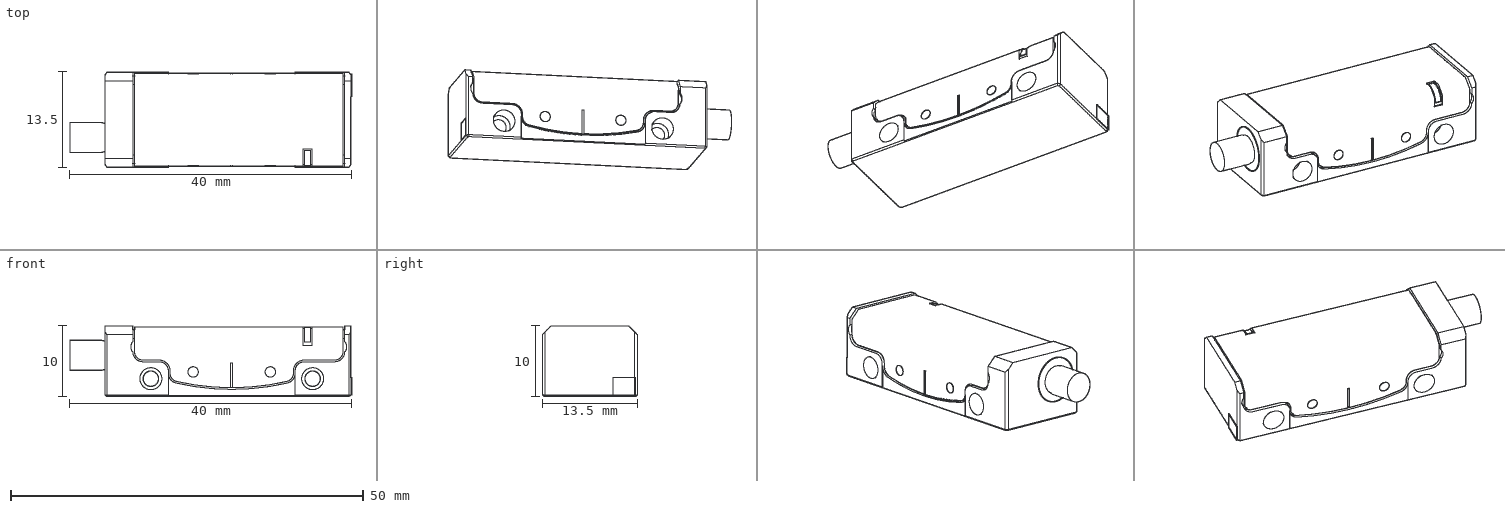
import cadquery as cq
import math

TOTAL_LENGTH = 40.0
WIDTH = 13.5
HEIGHT = 10.0
HALF_WIDTH = WIDTH / 2
CLEARANCE = 4.0

HOUSING_START = 4.95
LABEL_THICKNESS = 0.1
HOUSING_END = TOTAL_LENGTH - LABEL_THICKNESS
TOP_CHAMFER = 1.25
CORNER_CHAMFER_X = 0.3
CORNER_CHAMFER_Y = 0.4
BASE_CHAMFER = 0.25

MIDDLE_X = 22.95
RELIEF_HALF_LENGTH = 9.0
RELIEF_DEPTH = 0.1

COVER_START = 9.15
COVER_END = 38.75
COVER_SIDE_INSET = 0.2
COVER_TOP_INSET = 0.1
COVER_EDGE_RADIUS = 0.2
SHOULDER_Z = 5.15
SHOULDER_RADIUS = 1.2
WAIST_HALF_LENGTH = 8.75
WAIST_RADIUS = 1.5
BELLY_CORNER_Z = 2.35
BELLY_CORNER_RADIUS = 1.2
BELLY_Z = 1.25
SEAM_WIDTH = 0.25
SEAM_DEPTH = 0.5
PRY_NOTCH_Z = 7.05
PRY_NOTCH_HEIGHT = 1.5
PRY_NOTCH_BULGE = 0.3

HOLE_OFFSET = 11.5
HOLE_Z = 2.5
HOLE_DIAMETER = 2.15
COUNTERBORE_DIAMETER = 3.1
COUNTERBORE_DEPTH = 3.4
COUNTERBORE_CONE_ANGLE = 45
DIMPLE_OFFSET = 5.5
DIMPLE_Z = 3.5
DIMPLE_DIAMETER = 1.5
DIMPLE_DEPTH = 0.1
SLIT_WIDTH = 0.3
SLIT_DEPTH = 0.2
SLIT_TOP_Z = 4.7

WINDOW_X = 33.7
WINDOW_WIDTH = 1.3
WINDOW_BOTTOM_Z = 7.2
WINDOW_RADIUS = 2.4
WINDOW_DEPTH = 0.2
LIGHT_GUIDE_WIDTH = 0.9
LIGHT_GUIDE_RADIUS = 2.1
LIGHT_GUIDE_DEPTH = 0.1

CABLE_Y = -2.5
CABLE_Z = 5.85
CABLE_DIAMETER = 4.3
NECK_DIAMETER = 4.05
NECK_START = 4.5
GROMMET_DIAMETER = 6.55
GROMMET_GROOVE_WIDTH = 0.1
GROMMET_GROOVE_DEPTH = 0.1

LABEL_Y_MIN = 3.3
LABEL_Y_MAX = 6.5
LABEL_Z_MIN = 0.2
LABEL_Z_MAX = 2.7


def block(x_min, x_max, y_min, y_max, z_min, z_max):
    size = (x_max - x_min, y_max - y_min, z_max - z_min)
    return cq.Workplane("XY").box(*size, centered=False).translate((x_min, y_min, z_min))


def chamfered_bar(x_min, x_max, side_inset, top_inset):
    """Bar along X with both upper edges chamfered, inset from the outer envelope."""
    half = HALF_WIDTH - side_inset
    bar = block(x_min, x_max, -half, half, 0, HEIGHT - top_inset)
    return bar.faces(">Z").edges("|X").chamfer(TOP_CHAMFER)


def through_width(profile):
    """Extrude a profile in the XZ plane past both sides of the part."""
    return profile.extrude(HALF_WIDTH + CLEARANCE, both=True)


def make_housing():
    """Bar with chamfered upright corners and a small chamfer around the base."""
    x_outer = (HOUSING_END - HOUSING_START) / 2
    x_inner = x_outer - CORNER_CHAMFER_X
    y_inner = HALF_WIDTH - CORNER_CHAMFER_Y
    plan = [
        (x_outer, -y_inner),
        (x_outer, y_inner),
        (x_inner, HALF_WIDTH),
        (-x_inner, HALF_WIDTH),
        (-x_outer, y_inner),
        (-x_outer, -y_inner),
        (-x_inner, -HALF_WIDTH),
        (x_inner, -HALF_WIDTH),
    ]
    middle = (HOUSING_START + HOUSING_END) / 2
    plan_prism = cq.Workplane("XY", origin=(middle, 0, 0)).polyline(plan).close().extrude(HEIGHT)
    housing = chamfered_bar(HOUSING_START, HOUSING_END, 0, 0).intersect(plan_prism)
    return housing.faces("<Z").edges().chamfer(BASE_CHAMFER)


def make_cover_prism():
    """Side silhouette of the cover: shoulders at both ends and a rounded belly between."""
    waist_left = MIDDLE_X - WAIST_HALF_LENGTH
    waist_right = MIDDLE_X + WAIST_HALF_LENGTH
    top = HEIGHT + CLEARANCE
    profile = (
        cq.Workplane("XZ")
        .moveTo(COVER_START, top)
        .lineTo(COVER_START, SHOULDER_Z)
        .lineTo(waist_left, SHOULDER_Z)
        .lineTo(waist_left, BELLY_CORNER_Z)
        .threePointArc((MIDDLE_X, BELLY_Z), (waist_right, BELLY_CORNER_Z))
        .lineTo(waist_right, SHOULDER_Z)
        .lineTo(COVER_END, SHOULDER_Z)
        .lineTo(COVER_END, top)
        .close()
    )
    prism = through_width(profile)
    corners = (
        (((COVER_START, SHOULDER_Z), (COVER_END, SHOULDER_Z)), SHOULDER_RADIUS),
        (((waist_left, SHOULDER_Z), (waist_right, SHOULDER_Z)), WAIST_RADIUS),
        (((waist_left, BELLY_CORNER_Z), (waist_right, BELLY_CORNER_Z)), BELLY_CORNER_RADIUS),
    )
    for places, radius in corners:
        for x, z in places:
            prism = prism.edges(cq.NearestToPointSelector((x, 0, z))).fillet(radius)
    return prism


def make_pry_notches():
    """Lens-shaped widenings of the seam, one at each end of the cover."""
    notches = cq.Workplane("XZ")
    half = PRY_NOTCH_HEIGHT / 2
    for edge_x, outward in ((COVER_START, -1), (COVER_END, 1)):
        seam_x = edge_x + outward * SEAM_WIDTH
        tip_x = seam_x + outward * PRY_NOTCH_BULGE
        lens = (
            cq.Workplane("XZ")
            .moveTo(edge_x, PRY_NOTCH_Z - half)
            .lineTo(seam_x, PRY_NOTCH_Z - half)
            .threePointArc((tip_x, PRY_NOTCH_Z), (seam_x, PRY_NOTCH_Z + half))
            .lineTo(edge_x, PRY_NOTCH_Z + half)
            .close()
        )
        notches = notches.add(through_width(lens))
    return notches.combine()


def make_cover(cover_prism):
    cover = chamfered_bar(HOUSING_START, HOUSING_END, COVER_SIDE_INSET, COVER_TOP_INSET)
    long_edges = cover.faces("#X and (not <Z) and (not <Y) and (not >Y) and (not >Z)").edges("|X")
    return long_edges.fillet(COVER_EDGE_RADIUS).intersect(cover_prism)


def add_cover(housing):
    """Sink the cover area to the seam floor, then fill it again with the cover."""
    cover_prism = make_cover_prism()
    outline = cover_prism.faces("<Y").wires().toPending()
    seam_prism = outline.offset2D(SEAM_WIDTH).extrude(-2 * (HALF_WIDTH + CLEARANCE), combine=False)
    core = chamfered_bar(HOUSING_START, HOUSING_END, SEAM_DEPTH, SEAM_DEPTH)
    sunken = seam_prism.union(make_pry_notches()).cut(core)
    return housing.cut(sunken).union(make_cover(cover_prism))


def cut_side_reliefs(body):
    """Set the middle of both sides back slightly between the mounting ends."""
    inner = HALF_WIDTH - RELIEF_DEPTH
    x_range = (MIDDLE_X - RELIEF_HALF_LENGTH, MIDDLE_X + RELIEF_HALF_LENGTH)
    for y_range in ((-HALF_WIDTH, -inner), (inner, HALF_WIDTH)):
        body = body.cut(block(*x_range, *y_range, 0, HEIGHT))
    return body


def side_plane(side, inset):
    """Plane parallel to a side face, pointing outward; its X is along -side * X."""
    origin = (MIDDLE_X, side * (HALF_WIDTH - inset), 0)
    return cq.Workplane(cq.Plane(origin, xDir=(-side, 0, 0), normal=(0, side, 0)))


def cut_side_details(body):
    """Both sides get two counterbored holes with coned bottoms, two dimples and a center slit."""
    cone_height = (
        (COUNTERBORE_DIAMETER - HOLE_DIAMETER) / 2 / math.tan(math.radians(COUNTERBORE_CONE_ANGLE))
    )
    for side in (-1, 1):
        holes = [(-HOLE_OFFSET, HOLE_Z), (HOLE_OFFSET, HOLE_Z)]
        bore = side_plane(side, 0).pushPoints(holes).circle(HOLE_DIAMETER / 2).extrude(-HALF_WIDTH)
        counterbore = (
            side_plane(side, 0)
            .pushPoints(holes)
            .circle(COUNTERBORE_DIAMETER / 2)
            .extrude(-COUNTERBORE_DEPTH)
        )
        cone = (
            side_plane(side, COUNTERBORE_DEPTH)
            .pushPoints(holes)
            .circle(COUNTERBORE_DIAMETER / 2)
            .extrude(-cone_height, taper=COUNTERBORE_CONE_ANGLE)
        )
        body = body.cut(bore).cut(counterbore).cut(cone)

        dimples = side_plane(side, COVER_SIDE_INSET + DIMPLE_DEPTH)
        dimples = dimples.pushPoints([(-DIMPLE_OFFSET, DIMPLE_Z), (DIMPLE_OFFSET, DIMPLE_Z)])
        body = body.cut(dimples.circle(DIMPLE_DIAMETER / 2).extrude(CLEARANCE))

        slit = side_plane(side, COVER_SIDE_INSET + SLIT_DEPTH).center(0, (SLIT_TOP_Z + BELLY_Z) / 2)
        body = body.cut(slit.rect(SLIT_WIDTH, SLIT_TOP_Z - BELLY_Z).extrude(CLEARANCE))
    return body


def round_edge(width, radius, depth, skirt=0):
    """Quarter-round bar along X, lying the given depth below the cover's top and front side.

    The skirt continues the round below its center.
    """
    left = WINDOW_X - width / 2
    center_y = radius + depth + COVER_SIDE_INSET - HALF_WIDTH
    center_z = HEIGHT - COVER_TOP_INSET - depth - radius
    rod = cq.Workplane("YZ", origin=(left, center_y, center_z)).circle(radius).extrude(width)
    quarter = block(left, left + width, -HALF_WIDTH, center_y, center_z - skirt, HEIGHT)
    return rod.intersect(quarter)


def add_light_window(body):
    """Slot around the cover edge holding a narrower, rounded light guide."""
    left = WINDOW_X - WINDOW_WIDTH / 2
    inner_y = WINDOW_RADIUS + COVER_SIDE_INSET - HALF_WIDTH
    slot = block(left, left + WINDOW_WIDTH, -HALF_WIDTH, inner_y, WINDOW_BOTTOM_Z, HEIGHT)
    floor = round_edge(WINDOW_WIDTH, WINDOW_RADIUS - WINDOW_DEPTH, WINDOW_DEPTH, skirt=WINDOW_RADIUS)
    guide = round_edge(LIGHT_GUIDE_WIDTH, LIGHT_GUIDE_RADIUS, LIGHT_GUIDE_DEPTH)
    return body.cut(slot.cut(floor)).union(guide)


def cable_plane(x):
    return cq.Workplane("YZ", origin=(x, CABLE_Y, CABLE_Z))


def add_cable(body):
    groove = cable_plane(HOUSING_START).circle(GROMMET_DIAMETER / 2)
    groove = groove.circle(GROMMET_DIAMETER / 2 - GROMMET_GROOVE_WIDTH).extrude(GROMMET_GROOVE_DEPTH)
    cable = cable_plane(0).circle(CABLE_DIAMETER / 2).extrude(NECK_START)
    neck = (
        cable_plane(NECK_START)
        .circle(CABLE_DIAMETER / 2)
        .workplane(offset=HOUSING_START - NECK_START)
        .circle(NECK_DIAMETER / 2)
        .loft()
    )
    return body.cut(groove).union(cable).union(neck)


def add_label(body):
    label = block(HOUSING_END, TOTAL_LENGTH, LABEL_Y_MIN, LABEL_Y_MAX, LABEL_Z_MIN, LABEL_Z_MAX)
    return body.union(label)


result = make_housing()
result = cut_side_reliefs(result)
result = add_cover(result)
result = cut_side_details(result)
result = add_light_window(result)
result = add_cable(result)
result = add_label(result)